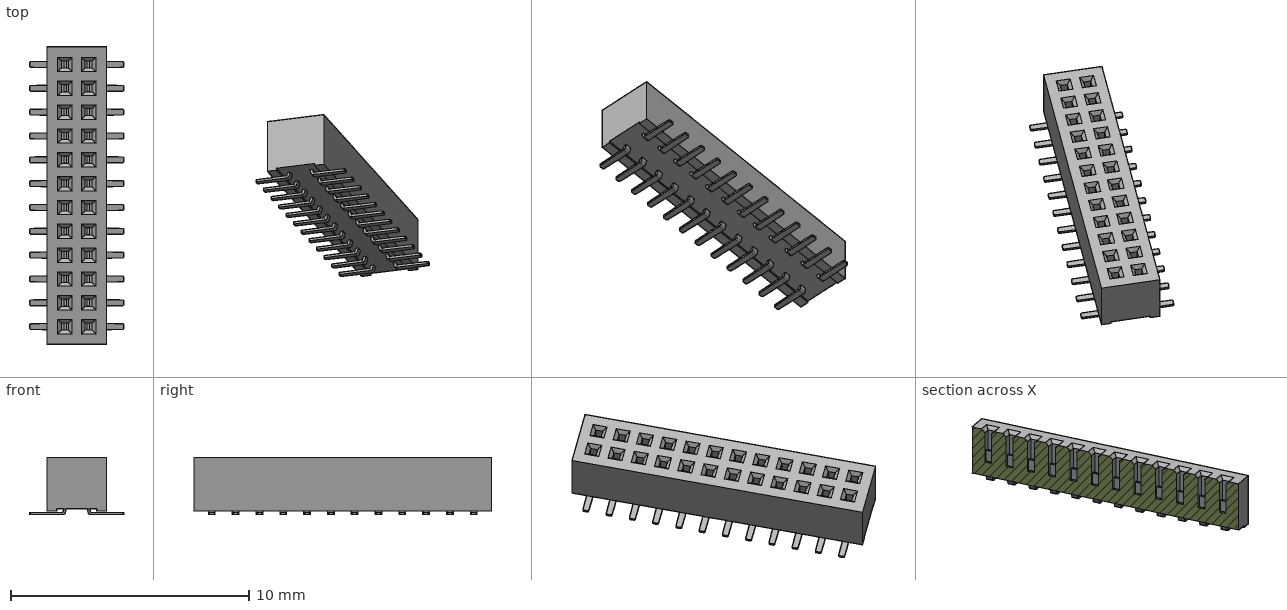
import cadquery as cq

body_length = 12.5
body_width = 2.5
overall_height = 2.4
standoff = 0.15
rail_width = 0.41
rail_height = 0.09

row_count = 12
pitch = 1.0

mouth_size = 0.6
shaft_size = 0.3
funnel_depth = 0.15
socket_depth = 1.5

lead_span = 3.95
lead_width = 0.29
lead_tip_width = 0.25
tip_chamfer = 0.04
lead_thickness = 0.1
blade_inner = 0.44
blade_top_depth = 1.0
heel_shift = 0.06
heel_radius = 0.1

recess_z = standoff + rail_height
blade_outer = blade_inner + lead_thickness
heel_inner = blade_inner + heel_shift
heel_outer = blade_outer + heel_shift
lead_tip = lead_span / 2


def make_housing():
    """Long block with a shallow recess underneath, leaving a rail along each side."""
    block = cq.Workplane("XY").workplane(offset=standoff).rect(body_width, body_length)
    block = block.extrude(overall_height - standoff)
    recess = cq.Workplane("XY").workplane(offset=standoff)
    recess = recess.rect(body_width - 2 * rail_width, body_length).extrude(rail_height)
    return block.cut(recess)


def make_socket():
    """Square funnel leading into a straight square shaft, on the Z axis."""
    funnel_bottom = overall_height - funnel_depth
    funnel = cq.Workplane("XY").workplane(offset=overall_height).rect(mouth_size, mouth_size)
    funnel = funnel.workplane(offset=-funnel_depth).rect(shaft_size, shaft_size).loft(ruled=True)
    shaft = cq.Workplane("XY").workplane(offset=funnel_bottom).rect(shaft_size, shaft_size)
    return funnel.union(shaft.extrude(funnel_depth - socket_depth))


def make_contact():
    """Contact of the +X column: upright blade, leaning leg and flat outward lead."""
    blade_top = overall_height - blade_top_depth
    profile = [
        (blade_inner, blade_top),
        (blade_outer, blade_top),
        (blade_outer, recess_z),
        (heel_outer, lead_thickness),
        (lead_tip, lead_thickness),
        (lead_tip, 0),
        (heel_inner, 0),
        (blade_inner, recess_z),
    ]
    strip = cq.Workplane("XZ").polyline(profile).close().extrude(lead_width / 2, both=True)
    heel_edge = cq.selectors.NearestToPointSelector((heel_inner, 0, 0))
    strip = strip.edges(heel_edge).fillet(heel_radius)
    half_tip = lead_tip_width / 2
    half_base = lead_width / 2
    outline = [
        (blade_inner, -half_base),
        (heel_outer, -half_base),
        (lead_tip - tip_chamfer, -half_tip),
        (lead_tip, tip_chamfer - half_tip),
        (lead_tip, half_tip - tip_chamfer),
        (lead_tip - tip_chamfer, half_tip),
        (heel_outer, half_base),
        (blade_inner, half_base),
    ]
    return strip.intersect(cq.Workplane("XY").polyline(outline).close().extrude(overall_height))


row_places = [(row - (row_count - 1) / 2) * pitch for row in range(row_count)]

housing = make_housing()
socket = make_socket()
contact = make_contact()
mirrored_contact = contact.mirror("YZ")

sockets = []
contacts = []
for y in row_places:
    sockets += [socket.translate((side * pitch / 2, y, 0)).val() for side in (-1, 1)]
    contacts += [shape.translate((0, y, 0)).val() for shape in (contact, mirrored_contact)]

result = cq.Workplane(housing.val().cut(*sockets).fuse(*contacts))